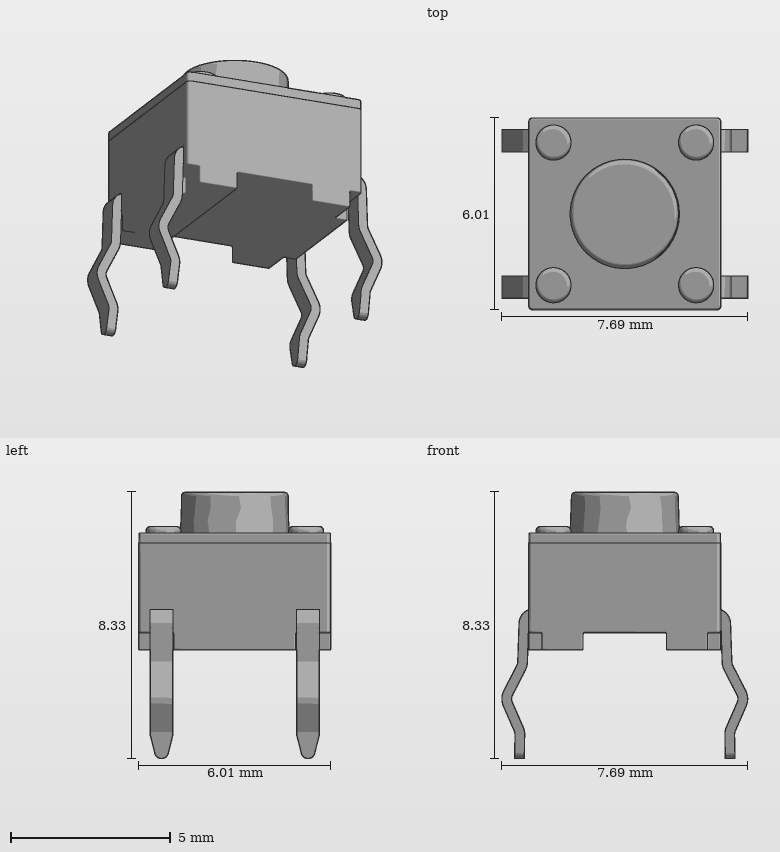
import cadquery as cq
import math

BODY_SIDE = 6.01
COVER_SIDE = 6.00
BODY_HEIGHT = 3.67
COVER_THICKNESS = 0.32
CORNER_RADIUS = 0.13
TOP_EDGE_RADIUS = 0.06

CORNERS = [(x_side, y_side) for x_side in (-1, 1) for y_side in (-1, 1)]

CUTOUT_HEIGHT = 0.545
SLOT_WIDTH = 2.60
NOTCH_X = 0.42
NOTCH_Y = 1.10
UNDERSIDE_EDGE_RADIUS = 0.05

BUTTON_HEIGHT = 1.27
BUTTON_BASE_RADIUS = 1.71
BUTTON_TOP_RADIUS = 1.67
BUTTON_EDGE_RADIUS = 0.13

RIVET_RADIUS = 0.55
RIVET_HEIGHT = 0.20
RIVET_EDGE_RADIUS = 0.14
RIVET_OFFSET = 2.23

LEG_OFFSET_Y = 2.29
LEG_WIDTH = 0.71
LEG_THICKNESS = 0.31
HOOK_BEND_RADIUS = 0.33
LEG_BEND_RADIUS = 0.41
LEG_BOTTOM_Z = -3.39
TIP_TAPER_Z = -2.66
TIP_ROUND_Z = -3.19
TIP_ROUND_WIDTH = 0.44

LEG_START = (2.60, 1.15)
LEG_HOOK = (3.145, 1.15)
LEG_UPPER_KNEE = (3.20, -0.465)
LEG_BULGE = (3.735, -1.51)
LEG_LOWER_KNEE = (3.28, -2.55)
LEG_END = (3.295, LEG_BOTTOM_Z)


def make_box(size_x, size_y, height, center=(0, 0, 0)):
    """Box centred in X and Y on the given point, rising from it in Z."""
    return cq.Workplane("XY", origin=center).box(size_x, size_y, height, centered=(True, True, False))


def make_base():
    base = make_box(BODY_SIDE, BODY_SIDE, BODY_HEIGHT - COVER_THICKNESS)
    base = base.edges("|Z").fillet(CORNER_RADIUS)

    base = base.cut(make_box(SLOT_WIDTH, BODY_SIDE, CUTOUT_HEIGHT))
    for x_side, y_side in CORNERS:
        corner = (x_side * BODY_SIDE / 2, y_side * BODY_SIDE / 2, 0)
        base = base.cut(make_box(2 * NOTCH_X, 2 * NOTCH_Y, CUTOUT_HEIGHT, corner))

    underside = cq.selectors.BoxSelector(
        (-BODY_SIDE, -BODY_SIDE, -CUTOUT_HEIGHT),
        (BODY_SIDE, BODY_SIDE, CUTOUT_HEIGHT + UNDERSIDE_EDGE_RADIUS),
        boundingbox=True,
    )
    return base.edges(underside).fillet(UNDERSIDE_EDGE_RADIUS)


def make_cover():
    cover = make_box(COVER_SIDE, COVER_SIDE, COVER_THICKNESS, (0, 0, BODY_HEIGHT - COVER_THICKNESS))
    cover = cover.edges("|Z").fillet(CORNER_RADIUS)
    return cover.faces(">Z").edges().fillet(TOP_EDGE_RADIUS)


def make_button():
    taper = math.degrees(math.atan((BUTTON_BASE_RADIUS - BUTTON_TOP_RADIUS) / BUTTON_HEIGHT))
    button = cq.Workplane("XY", origin=(0, 0, BODY_HEIGHT)).circle(BUTTON_BASE_RADIUS)
    button = button.extrude(BUTTON_HEIGHT, taper=taper)
    return button.faces(">Z").edges().fillet(BUTTON_EDGE_RADIUS)


def make_rivet():
    rivet = cq.Workplane("XY", origin=(0, 0, BODY_HEIGHT)).circle(RIVET_RADIUS).extrude(RIVET_HEIGHT)
    return rivet.faces(">Z").edges().fillet(RIVET_EDGE_RADIUS)


def offset_corner(before, corner, after, distance):
    """Corner of the line parallel to before-corner-after, displaced to its left."""
    heading_in = math.atan2(corner[1] - before[1], corner[0] - before[0])
    heading_out = math.atan2(after[1] - corner[1], after[0] - corner[0])
    normal = (heading_in + heading_out) / 2 + math.pi / 2
    reach = distance / math.cos((heading_out - heading_in) / 2)
    return (corner[0] + reach * math.cos(normal), corner[1] + reach * math.sin(normal))


def turns_clockwise(before, corner, after):
    run_in, rise_in = corner[0] - before[0], corner[1] - before[1]
    run_out, rise_out = after[0] - corner[0], after[1] - corner[1]
    return run_in * rise_out - rise_in * run_out < 0


def round_edge(strip, corner, radius):
    """Fillet the edge along Y that passes through an XZ corner."""
    x, z = corner
    return strip.edges(cq.NearestToPointSelector((x, 0, z))).fillet(radius)


def make_leg_silhouette():
    """Prism along X with the YZ outline of a terminal: straight sides and a tapered, rounded tip."""
    side_y = LEG_WIDTH / 2
    round_y = TIP_ROUND_WIDTH / 2
    top_z = LEG_HOOK[1] + LEG_THICKNESS
    return (
        cq.Workplane("YZ")
        .moveTo(-side_y, top_z)
        .lineTo(-side_y, TIP_TAPER_Z)
        .lineTo(-round_y, TIP_ROUND_Z)
        .threePointArc((0, LEG_BOTTOM_Z), (round_y, TIP_ROUND_Z))
        .lineTo(side_y, TIP_TAPER_Z)
        .lineTo(side_y, top_z)
        .close()
        .extrude(BODY_SIDE)
    )


def make_leg():
    """Terminal on the +X side, centred on Y = 0."""
    half = LEG_THICKNESS / 2
    line = [LEG_START, LEG_HOOK, LEG_UPPER_KNEE, LEG_BULGE, LEG_LOWER_KNEE, LEG_END]
    bends = list(zip(line, line[1:], line[2:]))
    outer = [offset_corner(*bend, half) for bend in bends]
    inner = [offset_corner(*bend, -half) for bend in bends]

    start_top = (LEG_START[0], LEG_START[1] + half)
    start_bottom = (LEG_START[0], LEG_START[1] - half)
    end_outer = (LEG_END[0] + half, LEG_END[1])
    end_inner = (LEG_END[0] - half, LEG_END[1])
    outline = [start_top, *outer, end_outer, end_inner, *reversed(inner), start_bottom]
    strip = cq.Workplane("XZ").polyline(outline).close().extrude(LEG_WIDTH / 2, both=True)

    bend_radii = [HOOK_BEND_RADIUS, LEG_BEND_RADIUS, LEG_BEND_RADIUS, LEG_BEND_RADIUS]
    for bend, bend_radius, outer_corner, inner_corner in zip(bends, bend_radii, outer, inner):
        outer_change = half if turns_clockwise(*bend) else -half
        strip = round_edge(strip, outer_corner, bend_radius + outer_change)
        strip = round_edge(strip, inner_corner, bend_radius - outer_change)

    return strip.intersect(make_leg_silhouette())


result = make_base().union(make_cover()).union(make_button())

rivet = make_rivet()
for x_side, y_side in CORNERS:
    result = result.union(rivet.translate((x_side * RIVET_OFFSET, y_side * RIVET_OFFSET, 0)))

leg = make_leg()
for side_leg in (leg, leg.mirror("YZ")):
    for y_side in (-1, 1):
        result = result.union(side_leg.translate((0, y_side * LEG_OFFSET_Y, 0)))